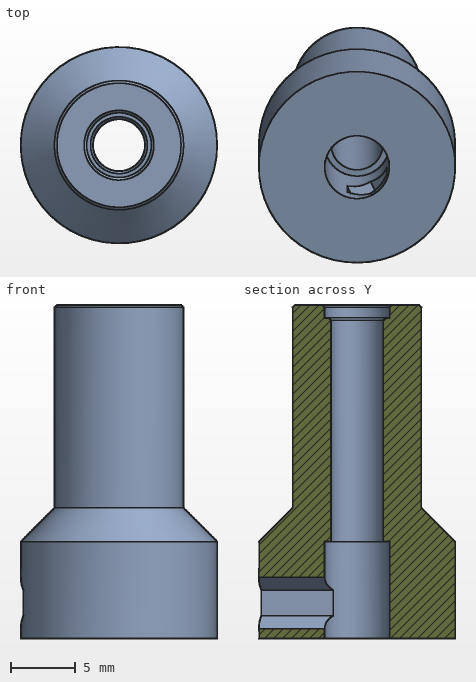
import cadquery as cq
import math

total_height = 25.8
base_diameter = 15.2
base_height = 7.5
shaft_diameter = 10.0
shoulder_height = (base_diameter - shaft_diameter) / 2
shaft_bottom = base_height + shoulder_height
edge_chamfer = 0.2

socket_diameter = 5.0
socket_depth = base_height
bore_diameter = 4.0
counterbore_diameter = 5.0
counterbore_depth = 1.0

hex_across_flats = 3.4
hex_across_corners = hex_across_flats / math.cos(math.radians(30))
hex_height = 2.75


def make_body():
    """Base cylinder, conical shoulder and shaft with a chamfered top edge."""
    base_radius = base_diameter / 2
    shaft_radius = shaft_diameter / 2
    return (
        cq.Workplane("XZ")
        .moveTo(0, 0)
        .lineTo(base_radius, 0)
        .lineTo(base_radius, base_height)
        .lineTo(shaft_radius, shaft_bottom)
        .lineTo(shaft_radius, total_height - edge_chamfer)
        .lineTo(shaft_radius - edge_chamfer, total_height)
        .lineTo(0, total_height)
        .close()
        .revolve(360, (0, 0, 0), (0, 1, 0))
    )


def make_bore():
    """Through bore with a plain bottom socket; bore and counterbore have chamfered mouths."""
    socket_radius = socket_diameter / 2
    bore_radius = bore_diameter / 2
    counterbore_radius = counterbore_diameter / 2
    counterbore_floor = total_height - counterbore_depth
    return (
        cq.Workplane("XZ")
        .moveTo(0, 0)
        .lineTo(socket_radius, 0)
        .lineTo(socket_radius, socket_depth)
        .lineTo(bore_radius, socket_depth)
        .lineTo(bore_radius, counterbore_floor - edge_chamfer)
        .lineTo(bore_radius + edge_chamfer, counterbore_floor)
        .lineTo(counterbore_radius, counterbore_floor)
        .lineTo(counterbore_radius, total_height - edge_chamfer)
        .lineTo(counterbore_radius + edge_chamfer, total_height)
        .lineTo(0, total_height)
        .close()
        .revolve(360, (0, 0, 0), (0, 1, 0))
    )


def make_hex_hole():
    """Hexagonal prism from the axis out to -X, with corners at top and bottom."""
    corner_up = 90
    return (
        cq.Workplane("YZ", origin=(0, 0, hex_height))
        .transformed(rotate=(0, 0, corner_up))
        .polygon(6, hex_across_corners)
        .extrude(-base_diameter / 2)
    )


result = make_body().cut(make_bore()).cut(make_hex_hole())